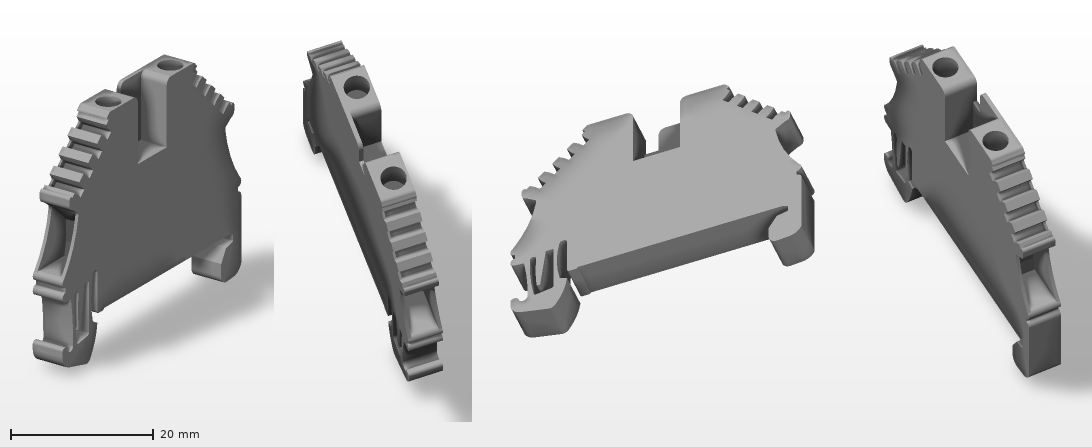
import cadquery as cq
import math


thickness = 5.1
length = 44.0
height = 36.7
half_length = length / 2

waist_z = 12.1
ledge_half = 20.3
ledge_z = 27.05
tooth_count = 3
tooth_pitch_y = 2.2
tooth_pitch_z = 2.15
first_tooth_y = 10.7
first_tooth_z = 34.15
gap_floor_y = 0.92
gap_floor_z = 0.9
tooth_slot_depth = 0.65
tooth_slot_rim = 0.35

throat_half = 18.1
throat_z = 23.55

lip_radius = 0.75
lip_z = 14.35
lip_y = half_length - lip_radius
lip_contact_angle = 20
groove_top_z = lip_z - lip_radius
groove_bottom_z = waist_z + lip_radius

pocket_side_wall = 0.55
pocket_top_z = 24.2
pocket_floor_z = lip_z + lip_radius
pocket_depth = 3.5

tower_wall = 0.65
gap_y_min = -3.48
gap_y_max = 3.65
slot_y_max = -1.3
slot_depth = 4.5
gap_depth = 10.55
tower_round = 1.05

screw_diameter = 3.7
screw_x = 2.9
screw_positions_y = (-7.55, 7.7)
screw_recess = 4.4
screw_length = 4.4
screw_top_z = height - screw_recess
screw_bottom_z = screw_top_z - screw_length

rail_face_z = 7.05
slit_y = -13.4


def profile():
    """Start an outline in the Y-Z plane."""
    return cq.Workplane("YZ")


def lip_point(axis_z, angle):
    """Point on a rounded lip at an angle in degrees above horizontal."""
    turn = math.radians(angle)
    return lip_y + lip_radius * math.cos(turn), axis_z + lip_radius * math.sin(turn)


def gap_foot(index):
    """Upper inner corner of a tooth gap."""
    return first_tooth_y + index * tooth_pitch_y, first_tooth_z - index * tooth_pitch_z


def tooth_points():
    """Zigzag down the flank: each gap foot, gap bottom and the two tips of the next tooth."""
    points = []
    for index in range(tooth_count + 1):
        y, z = gap_foot(index)
        points += [(y, z), (y + gap_floor_y, z - gap_floor_z), (y + 1.75, z - 0.3)]
        if index < tooth_count:
            points.append((y + 2.75, z - 1.25))
    return points


def upper_half():
    """Half of the upper housing, on the high Y side, from the waist to the top."""
    return (
        profile()
        .moveTo(0, waist_z)
        .lineTo(0, height)
        .lineTo(10.15, height)
        .threePointArc((10.45, 36.6), (10.7, 36.4))
        .lineTo(10.9, 36.15)
        .threePointArc((11.05, 36.0), (11.1, 35.8))
        .lineTo(10.7, 35.6)
        .lineTo(11.2, 35.0)
        .polyline(tooth_points(), includeCurrent=True)
        .lineTo(19.6, 26.8)
        .lineTo(19.8, ledge_z)
        .lineTo(19.9, ledge_z)
        .threePointArc((20.15, 26.95), (ledge_half, 26.65))
        .lineTo(ledge_half, 25.85)
        .threePointArc((20.1, 25.25), (19.6, 24.95))
        .lineTo(18.35, 24.05)
        .threePointArc((18.15, 23.85), (throat_half, throat_z))
        .threePointArc((19.5, 18.7), lip_point(lip_z, lip_contact_angle))
        .lineTo(lip_y, lip_z)
        .lineTo(lip_y, groove_bottom_z)
        .threePointArc(lip_point(waist_z, 45), (half_length, waist_z))
        .close()
        .extrude(thickness)
    )


def upper_lip():
    """Half-round bar that forms the lip between the end pocket and the groove."""
    return (
        profile()
        .moveTo(lip_y, groove_top_z)
        .threePointArc((half_length, lip_z), (lip_y, pocket_floor_z))
        .close()
        .extrude(thickness)
    )


def tooth_slot(index):
    """Slot that deepens one tooth gap, square to the flank and open on the high X side."""
    y, z = gap_foot(index)
    floor_y = y - tooth_slot_depth
    floor_z = z - tooth_slot_depth
    return (
        profile()
        .polyline([
            (y, z),
            (y + gap_floor_y, z - gap_floor_z),
            (floor_y + gap_floor_y, floor_z - gap_floor_z),
            (floor_y, floor_z),
        ])
        .close()
        .extrude(thickness - tooth_slot_rim)
        .translate((tooth_slot_rim, 0, 0))
    )


def fixed_foot():
    """Lower housing with the rigid hook at the high Y end."""
    return (
        profile()
        .moveTo(half_length, waist_z)
        .lineTo(half_length, 1.65)
        .threePointArc((21.4, 0.75), (20.3, 0.2))
        .lineTo(18.35, 0.05)
        .threePointArc((17.5, 0.35), (17.05, 1.28))
        .lineTo(17.05, 3.25)
        .lineTo(18.25, 5.3)
        .lineTo(20.0, 5.75)
        .lineTo(20.0, 6.75)
        .lineTo(19.05, rail_face_z)
        .lineTo(-11.8, rail_face_z)
        .lineTo(-11.95, 6.78)
        .lineTo(-13.2, 6.78)
        .lineTo(slit_y, rail_face_z)
        .lineTo(slit_y, waist_z)
        .close()
        .extrude(thickness)
    )


def spring_foot():
    """Sprung hook at the low Y end, before its slit and window are cut."""
    lower_lip_y, lower_lip_z = lip_point(waist_z, -45)
    return (
        profile()
        .moveTo(slit_y, waist_z)
        .lineTo(slit_y, 5.35)
        .threePointArc((-14.0, 2.85), (-15.15, 0.55))
        .threePointArc((-15.58, 0.15), (-16.1, 0))
        .lineTo(-20.6, 1.1)
        .threePointArc((-21.6, 1.9), (-half_length, 3.05))
        .lineTo(-half_length, 3.95)
        .threePointArc((-21.85, 4.25), (-21.55, 4.4))
        .lineTo(-21.25, 4.4)
        .threePointArc((-20.95, 4.25), (-20.8, 3.95))
        .threePointArc((-20.1, 3.35), (-19.4, 3.95))
        .threePointArc((-19.5, 7.7), (-19.95, 11.25))
        .lineTo(-lip_y, waist_z - lip_radius)
        .threePointArc((-lower_lip_y, lower_lip_z), (-half_length, waist_z))
        .close()
        .extrude(thickness)
    )


def spring_slit():
    """Round-ended slit that lets the spring foot flex."""
    return (
        profile()
        .moveTo(slit_y, 5.35)
        .lineTo(slit_y, 13.1)
        .threePointArc((-14.05, 13.65), (-14.6, 13.1))
        .threePointArc((-14.95, 9.5), (-14.5, 5.85))
        .close()
        .extrude(thickness)
    )


def spring_window():
    """Window through the spring foot, with a tapered tongue hanging into it."""
    return (
        profile()
        .moveTo(-15.45, 12.45)
        .lineTo(-16.65, 12.45)
        .lineTo(-17.45, 5.85)
        .threePointArc((-17.75, 5.68), (-18.05, 5.85))
        .threePointArc((-18.15, 8.8), (-18.1, 11.6))
        .threePointArc((-18.55, 12.0), (-19.05, 11.55))
        .threePointArc((-18.95, 7.88), (-18.5, 4.2))
        .threePointArc((-18.4, 3.95), (-18.15, 3.85))
        .lineTo(-15.9, 4.22)
        .threePointArc((-15.58, 4.35), (-15.45, 4.65))
        .close()
        .extrude(thickness)
    )


def end_pocket():
    """Pocket in the high Y end face, leaving a thin wall on each side."""
    back_y = throat_half - pocket_depth
    return (
        profile()
        .moveTo(half_length, pocket_top_z)
        .lineTo(18.52, pocket_top_z)
        .lineTo(back_y, 20.6)
        .lineTo(back_y, 17.2)
        .lineTo(back_y + 0.45, pocket_floor_z)
        .lineTo(lip_y, pocket_floor_z)
        .lineTo(lip_y, lip_z)
        .lineTo(half_length, lip_z)
        .close()
        .extrude(thickness - 2 * pocket_side_wall)
        .translate((pocket_side_wall, 0, 0))
    )


def rounded_gap(x_range, y_range, depth):
    """Gap open at the top, with its upper edges rounded outward."""
    y0, y1 = y_range
    x0, x1 = x_range
    diagonal = tower_round * (1 - math.cos(math.radians(45)))
    shoulder_z = height - tower_round
    return (
        profile()
        .moveTo(y0, height - depth)
        .lineTo(y0, shoulder_z)
        .threePointArc((y0 - diagonal, height - diagonal), (y0 - tower_round, height))
        .lineTo(y1 + tower_round, height)
        .threePointArc((y1 + diagonal, height - diagonal), (y1, shoulder_z))
        .lineTo(y1, height - depth)
        .close()
        .extrude(x1 - x0)
        .translate((x0, 0, 0))
    )


def screw_cylinder(y, top_z, bottom_z):
    """Upright cylinder of the screw diameter at one screw position."""
    return (
        cq.Workplane("XY", origin=(screw_x, y, bottom_z))
        .circle(screw_diameter / 2)
        .extrude(top_z - bottom_z)
    )


def make_housing():
    """Housing with feet, end pockets, tower gap and screw holes."""
    half = upper_half().cut(end_pocket()).union(upper_lip())
    for index in range(tooth_count + 1):
        half = half.cut(tooth_slot(index))
    body = half.union(half.mirror("XZ")).union(fixed_foot()).union(spring_foot())
    body = body.cut(spring_slit()).cut(spring_window())
    body = body.cut(rounded_gap((0, tower_wall), (gap_y_min, slot_y_max), slot_depth))
    body = body.cut(rounded_gap((tower_wall, thickness), (gap_y_min, gap_y_max), gap_depth))
    for y in screw_positions_y:
        body = body.cut(screw_cylinder(y, height, screw_bottom_z))
    return body.clean()


def make_screw(y):
    """Plain screw body that fills the lower part of its hole."""
    return screw_cylinder(y, screw_top_z, screw_bottom_z)


housing = make_housing()
screws = [make_screw(y) for y in screw_positions_y]
result = cq.Compound.makeCompound([housing.val(), *[screw.val() for screw in screws]])